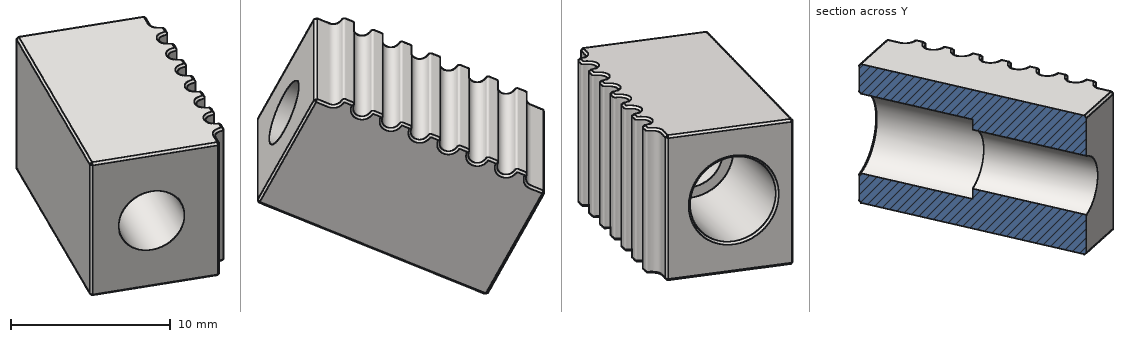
import cadquery as cq
import math

length = 16.0
width = 9.25
height = 9.8
edge_chamfer = 0.15

tooth_count = 7
tooth_pitch = 2.0
tooth_depth = 0.75
root_radius = 0.56
flank_offset = 0.4
tip_radius = 0.152

bore_y = 4.0
through_diameter = 4.3
counterbore_diameter = 5.7
counterbore_depth = length / 2

root_y = width - tooth_depth
root_centre_y = root_y + root_radius
flank_rise = width - root_centre_y
flank_radius = root_radius + math.hypot(flank_offset, flank_rise)
root_end_angle = math.atan2(-flank_rise, flank_offset)

tip_centre_y = width - tip_radius
tip_centre_x = math.sqrt((flank_radius + tip_radius) ** 2 - tip_radius ** 2) - flank_offset
flank_end_angle = math.atan2(-tip_radius, tip_centre_x + flank_offset)


def arc_points(centre_x, centre_y, radius, start, end):
    """Middle and end points of an arc running from the start angle to the end angle."""
    return [
        (centre_x + radius * math.cos(angle), centre_y + radius * math.sin(angle))
        for angle in ((start + end) / 2, end)
    ]


rising_arcs = [
    arc_points(0, root_centre_y, root_radius, -math.pi / 2, root_end_angle),
    arc_points(-flank_offset, width, flank_radius, root_end_angle, flank_end_angle),
    arc_points(tip_centre_x, tip_centre_y, tip_radius, flank_end_angle + math.pi, math.pi / 2),
]


def add_tooth(outline, tooth_x):
    """Continue the outline over one tooth, from groove bottom to groove bottom."""
    groove_x = tooth_x - tooth_pitch / 2
    next_groove_x = tooth_x + tooth_pitch / 2
    for (mid_x, mid_y), (end_x, end_y) in rising_arcs:
        outline = outline.threePointArc((groove_x + mid_x, mid_y), (groove_x + end_x, end_y))

    outline = outline.lineTo(next_groove_x - tip_centre_x, width)
    arc_ends = [(0, root_y)] + [end for middle, end in rising_arcs[:-1]]
    for ((mid_x, mid_y), _), (end_x, end_y) in zip(reversed(rising_arcs), reversed(arc_ends)):
        outline = outline.threePointArc(
            (next_groove_x - mid_x, mid_y), (next_groove_x - end_x, end_y)
        )
    return outline


def toothed_block():
    """Block with the tooth row on +Y and every outside edge chamfered."""
    half_length = length / 2
    row_start = -tooth_count * tooth_pitch / 2
    outline = cq.Workplane("XY").workplane(offset=-height / 2).moveTo(-half_length, 0)
    outline = outline.lineTo(-half_length, root_y).lineTo(row_start, root_y)
    for index in range(tooth_count):
        outline = add_tooth(outline, row_start + (index + 0.5) * tooth_pitch)
    outline = outline.lineTo(half_length, root_y).lineTo(half_length, 0).close()

    block = outline.extrude(height)
    return block.faces("<X or >X or <Z or >Z").edges().chamfer(edge_chamfer)


def stepped_bore():
    """Through hole with a counterbore and an entry chamfer on the -X end."""
    hole_radius = through_diameter / 2
    counterbore_radius = counterbore_diameter / 2
    entry_x = -length / 2
    floor_x = entry_x + counterbore_depth
    half_section = (
        cq.Workplane("XY")
        .moveTo(entry_x, 0)
        .lineTo(entry_x, counterbore_radius + edge_chamfer)
        .lineTo(entry_x + edge_chamfer, counterbore_radius)
        .lineTo(floor_x, counterbore_radius)
        .lineTo(floor_x, hole_radius)
        .lineTo(length / 2, hole_radius)
        .lineTo(length / 2, 0)
        .close()
    )
    return half_section.revolve(360, (0, 0, 0), (1, 0, 0)).translate((0, bore_y, 0))


result = toothed_block().cut(stepped_bore())